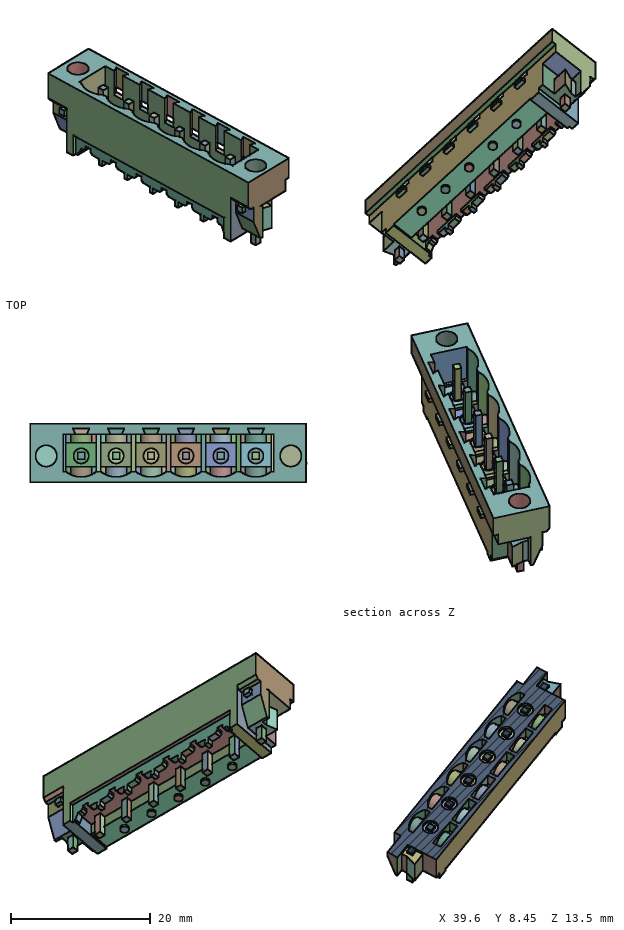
import cadquery as cq


POLES = 6
PITCH = 4.9995
PIN_SIZE = 1.0
PIN_TOP = -0.9
PIN_BOTTOM = -13.5

LEFT_END = 19.8
RIGHT_END = 19.7
FRONT_Y = -3.8
BACK_Y = FRONT_Y + 8.45
LOWER_BACK_Y = BACK_Y - 0.7
FLANGE_BOTTOM = -3.45
HOUSING_BOTTOM = -12.05
CORE_HALF_WIDTH = 16.15
END_BOTTOM = -10.95

RELIEF_DEPTH = 1.05
RELIEF_CHAMFER = 0.45
RELIEF_START = -4.3
RELIEF_TOP = -4.9
RELIEF_SLOPE_START = -7.45
RELIEF_SLOPE_DEPTH = 2.45

POCKET_FRONT_Y = FRONT_Y + 2.85
POCKET_TOP = -5.4
BOSS_TOP = -7.05
BOSS_BACK_Y = FRONT_Y + 5.43
BOSS_BEND_Y = FRONT_Y + 3.72
BOSS_BACK_INSET = 0.5
BOSS_FRONT_INSET = 1.1
BARB_HEIGHT = 0.1
BARB_LENGTH = 0.4

SCREW_DIAMETER = 3.05
SCREW_DEPTH = 3.15

CAVITY_HALF_WIDTH = 15.1
CAVITY_BACK_Y = FRONT_Y + 6.93
CAVITY_FRONT_Y = FRONT_Y + 1.55
SCALLOP_FRONT_Y = FRONT_Y + 0.8
CAVITY_DEPTH = 6.35
CELL_WIDTH = 4.35
CELL_DEPTH = 8.7
PLATEAU_FRONT_Y = FRONT_Y + 2.25
PLATEAU_BACK_Y = FRONT_Y + 5.7
PLATEAU_TOP = -6.75
COUNTERBORE_DIAMETER = 2.18
COUNTERBORE_DEPTH = 0.4
HUMP_RADIUS = 1.5

SLOT_NECK = 1.65
SLOT_WIDTH = 2.38
SLOT_BACK_Y = FRONT_Y + 7.75
SLOT_DEPTH = 4.25
NUB_LENGTH = 0.6
NUB_TOP = -5.25
NUB_BOTTOM = -5.98

APRON_HALF_WIDTH = 14.85
APRON_TOP = -8.47
APRON_Y = FRONT_Y + 0.55
APRON_BACK_Y = APRON_Y + 1.0
FLOOR_BOTTOM = -11.7
EDGE_AT_PIN = -10.6
EDGE_AT_RIB = -10.75
RIB_WIDTH = 0.65
SLANT_TOP_X = 13.82
SLANT_BOTTOM_X = 14.45
LEG_SLOT_TOP = -9.8
LEG_SLOT_CHAMFER = 0.3
STANDOFF_DIAMETER = 1.25
STANDOFF_Y = 2.57

SOLDER_PIN_FRONT_Y = FRONT_Y + 0.48
SOLDER_PIN_TOP = -5.45

POLE_X = [(i - (POLES - 1) / 2) * PITCH for i in range(POLES)]
RIB_X = [(a + b) / 2 for a, b in zip(POLE_X, POLE_X[1:])]
HALF_PIN = PIN_SIZE / 2
END_X = (POLES + 1) / 2 * PITCH
POCKET_WALL_X = END_X - HALF_PIN
END_SIDES = (-1, 1)


def block(x0, x1, y0, y1, z0, z1):
    """Box between two opposite corners."""
    return cq.Workplane("XY").box(x1 - x0, y1 - y0, z1 - z0, centered=False).translate((x0, y0, z0))


def contact_pin(x):
    return block(x - HALF_PIN, x + HALF_PIN, -HALF_PIN, HALF_PIN, PIN_BOTTOM, PIN_TOP)


def solder_pin(x):
    """L-shaped pin: a bar to the front and a leg down."""
    bar = block(x - HALF_PIN, x + HALF_PIN, SOLDER_PIN_FRONT_Y, HALF_PIN,
                SOLDER_PIN_TOP - PIN_SIZE, SOLDER_PIN_TOP)
    leg = block(x - HALF_PIN, x + HALF_PIN, -HALF_PIN, HALF_PIN, PIN_BOTTOM, SOLDER_PIN_TOP)
    return bar.union(leg)


def core():
    lower = block(-CORE_HALF_WIDTH, CORE_HALF_WIDTH, FRONT_Y, LOWER_BACK_Y, HOUSING_BOTTOM, 0)
    flange = block(-CORE_HALF_WIDTH, CORE_HALF_WIDTH, LOWER_BACK_Y, BACK_Y, FLANGE_BOTTOM, 0)
    return lower.union(flange)


def end_block(end_x):
    """+X end with its face at end_x: relieved front, side pocket and a boss with a bent face."""
    relief_y = FRONT_Y + RELIEF_DEPTH
    profile = [
        (FRONT_Y, 0),
        (FRONT_Y, RELIEF_START),
        (FRONT_Y + RELIEF_CHAMFER, RELIEF_TOP),
        (relief_y, RELIEF_TOP),
        (relief_y, RELIEF_SLOPE_START),
        (FRONT_Y + RELIEF_SLOPE_DEPTH, END_BOTTOM),
        (LOWER_BACK_Y, END_BOTTOM),
        (LOWER_BACK_Y, FLANGE_BOTTOM),
        (BACK_Y, FLANGE_BOTTOM),
        (BACK_Y, 0),
    ]
    body = (
        cq.Workplane("YZ", origin=(CORE_HALF_WIDTH, 0, 0))
        .polyline(profile).close().extrude(end_x - CORE_HALF_WIDTH)
    )
    pocket = block(POCKET_WALL_X, end_x, POCKET_FRONT_Y, LOWER_BACK_Y, END_BOTTOM, POCKET_TOP)
    boss_outline = [
        (POCKET_WALL_X, POCKET_FRONT_Y),
        (end_x - BOSS_FRONT_INSET, POCKET_FRONT_Y),
        (end_x - BOSS_FRONT_INSET, BOSS_BEND_Y),
        (end_x - BOSS_BACK_INSET, BOSS_BACK_Y),
        (POCKET_WALL_X, BOSS_BACK_Y),
    ]
    boss = (
        cq.Workplane("XY", origin=(0, 0, END_BOTTOM))
        .polyline(boss_outline).close().extrude(BOSS_TOP - END_BOTTOM)
    )
    return body.cut(pocket).union(boss)


def end_barb():
    """Small wedge on the +X end face, in front of the side pocket."""
    outline = [
        (RIGHT_END, POCKET_FRONT_Y),
        (RIGHT_END + BARB_HEIGHT, POCKET_FRONT_Y),
        (RIGHT_END, POCKET_FRONT_Y - BARB_LENGTH),
    ]
    return (
        cq.Workplane("XY", origin=(0, 0, END_BOTTOM))
        .polyline(outline).close().extrude(POCKET_TOP - END_BOTTOM)
    )


def plug_cell(x):
    """Deep cell of one pole with a scalloped front, a plateau around the pin and a round hump."""
    half = CELL_WIDTH / 2
    outline = (
        cq.Workplane("XY", origin=(x, 0, -CELL_DEPTH))
        .moveTo(-half, CAVITY_BACK_Y)
        .lineTo(-half, CAVITY_FRONT_Y)
        .threePointArc((0, SCALLOP_FRONT_Y), (half, CAVITY_FRONT_Y))
        .lineTo(half, CAVITY_BACK_Y)
        .close().extrude(CELL_DEPTH)
    )
    plateau = block(x - half, x + half, PLATEAU_FRONT_Y, PLATEAU_BACK_Y, -CELL_DEPTH, PLATEAU_TOP)
    counterbore = (
        cq.Workplane("XY", origin=(x, 0, PLATEAU_TOP - COUNTERBORE_DEPTH))
        .circle(COUNTERBORE_DIAMETER / 2).extrude(COUNTERBORE_DEPTH)
    )
    hump = (
        cq.Workplane("XZ", origin=(x, CAVITY_BACK_Y, -CELL_DEPTH))
        .circle(HUMP_RADIUS).extrude(CAVITY_BACK_Y - FRONT_Y)
    )
    return outline.cut(plateau).cut(hump).union(counterbore)


def dovetail_slot(x):
    outline = [
        (x - SLOT_NECK / 2, CAVITY_BACK_Y),
        (x + SLOT_NECK / 2, CAVITY_BACK_Y),
        (x + SLOT_WIDTH / 2, SLOT_BACK_Y),
        (x - SLOT_WIDTH / 2, SLOT_BACK_Y),
    ]
    return cq.Workplane("XY").polyline(outline).close().extrude(-SLOT_DEPTH)


def back_nub(x):
    half = SLOT_NECK / 2
    return block(x - half, x + half, LOWER_BACK_Y, LOWER_BACK_Y + NUB_LENGTH, NUB_BOTTOM, NUB_TOP)


def apron_cut():
    """Step along the lower front, raised floor between the corner feet, and trough for the legs."""
    step = block(-APRON_HALF_WIDTH, APRON_HALF_WIDTH, FRONT_Y, APRON_Y, HOUSING_BOTTOM, APRON_TOP)
    floor = block(-SLANT_BOTTOM_X, SLANT_BOTTOM_X, APRON_Y, LOWER_BACK_Y, HOUSING_BOTTOM, FLOOR_BOTTOM)
    trough = block(-SLANT_BOTTOM_X, SLANT_BOTTOM_X, APRON_BACK_Y, HALF_PIN, HOUSING_BOTTOM, LEG_SLOT_TOP)
    return step.union(floor).union(trough)


def edge_cut():
    """Wavy lower edge of the apron, highest at the pins, with ribs left between the poles."""
    points = [(-SLANT_BOTTOM_X, HOUSING_BOTTOM), (-SLANT_TOP_X, EDGE_AT_PIN)]
    for rib_x in RIB_X:
        points += [(rib_x - PITCH / 2, EDGE_AT_PIN), (rib_x, EDGE_AT_RIB)]
    points += [(POLE_X[-1], EDGE_AT_PIN), (SLANT_TOP_X, EDGE_AT_PIN), (SLANT_BOTTOM_X, HOUSING_BOTTOM)]
    cut = (
        cq.Workplane("XZ", origin=(0, APRON_BACK_Y, 0))
        .polyline(points).close().extrude(APRON_BACK_Y - APRON_Y)
    )
    for rib_x in RIB_X:
        half = RIB_WIDTH / 2
        cut = cut.cut(block(rib_x - half, rib_x + half, APRON_Y, APRON_BACK_Y, FLOOR_BOTTOM, APRON_TOP))
    return cut


def leg_slot(x):
    """Slot in the apron in front of a pin leg, flared at the apron's lower edge."""
    flare = HALF_PIN + LEG_SLOT_CHAMFER
    outline = [
        (x - HALF_PIN, LEG_SLOT_TOP),
        (x + HALF_PIN, LEG_SLOT_TOP),
        (x + HALF_PIN, EDGE_AT_PIN + LEG_SLOT_CHAMFER),
        (x + flare, EDGE_AT_PIN),
        (x + flare, HOUSING_BOTTOM),
        (x - flare, HOUSING_BOTTOM),
        (x - flare, EDGE_AT_PIN),
        (x - HALF_PIN, EDGE_AT_PIN + LEG_SLOT_CHAMFER),
    ]
    return (
        cq.Workplane("XZ", origin=(0, APRON_BACK_Y, 0))
        .polyline(outline).close().extrude(APRON_BACK_Y - APRON_Y)
    )


def standoff(x):
    return (
        cq.Workplane("XY", origin=(x, STANDOFF_Y, HOUSING_BOTTOM))
        .circle(STANDOFF_DIAMETER / 2).extrude(FLOOR_BOTTOM - HOUSING_BOTTOM)
    )


def screw_hole(x):
    return cq.Workplane("XY", origin=(x, 0, 0)).circle(SCREW_DIAMETER / 2).extrude(-SCREW_DEPTH)


contact_pins = [contact_pin(x) for x in POLE_X]
solder_pins = [solder_pin(side * END_X) for side in END_SIDES]

housing = core().union(end_barb().union(end_block(RIGHT_END)))
housing = housing.union(end_block(LEFT_END).mirror("YZ"))
housing = housing.cut(
    block(-CAVITY_HALF_WIDTH, CAVITY_HALF_WIDTH, CAVITY_FRONT_Y, CAVITY_BACK_Y, -CAVITY_DEPTH, 0)
)
housing = housing.cut(apron_cut()).cut(edge_cut())
for side in END_SIDES:
    housing = housing.cut(screw_hole(side * END_X))
for x in POLE_X:
    housing = housing.cut(plug_cell(x)).cut(dovetail_slot(x)).cut(leg_slot(x))
    housing = housing.union(back_nub(x))
for x in RIB_X:
    housing = housing.union(standoff(x))
for pin in contact_pins + solder_pins:
    housing = housing.cut(pin)

result = cq.Compound.makeCompound(
    [body.solids().val() for body in [housing] + contact_pins + solder_pins]
)